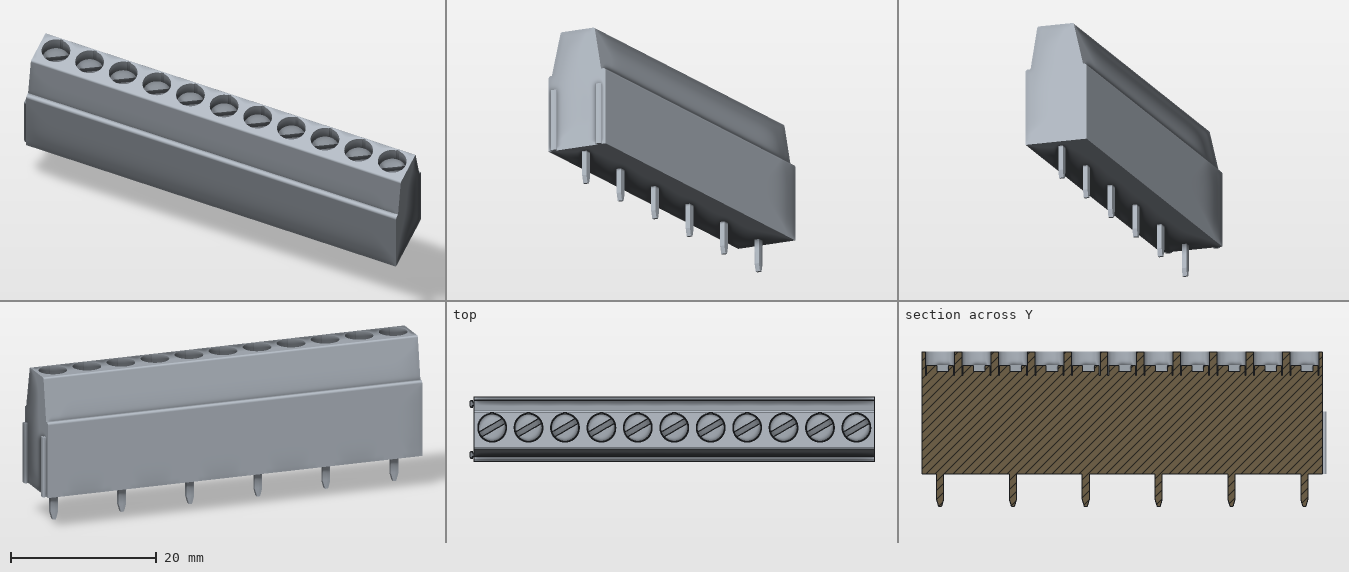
import cadquery as cq

poles = 11
pole_pitch = 5.0
rail_depth = 0.55
body_length = poles * pole_pitch
total_length = body_length + rail_depth
body_right = total_length / 2
body_left = body_right - body_length

body_width = 8.9
body_height = 16.8
shoulder_height = 10.8
shoulder_front = -3.7
shoulder_back = 3.95
top_front = -2.7
top_back = 2.55
top_edge_round = 0.3
shoulder_round = 0.35

well_diameter = 3.95
well_y = 0.2
well_depth = 1.85
well_notch_width = 0.45
well_notch_depth = 0.1
head_diameter = 3.8
head_height = 1.4
slot_width = 0.8
slot_depth = 0.85
slot_angle = 30

rail_height = 8.55
rail_spacing = 7.0
rail_width = 0.95
rail_neck = 0.55
rail_lip = 0.35
rail_chamfer = 0.15

pin_length = 4.5
pin_width = 1.05
pin_thickness = 0.65
pin_y = -0.05
pin_tip_length = 1.05
pin_tip_width = 0.45
pin_step = 2


def make_body():
    half_width = body_width / 2
    outline = [
        (-half_width, 0),
        (-half_width, shoulder_height),
        (shoulder_front, shoulder_height),
        (top_front, body_height),
        (top_back, body_height),
        (shoulder_back, shoulder_height),
        (half_width, shoulder_height),
        (half_width, 0),
    ]
    body = cq.Workplane("YZ", origin=(body_left, 0, 0)).polyline(outline).close().extrude(body_length)
    body = body.faces(">Z").edges("|X").fillet(top_edge_round)
    return body.faces("<Y or >Y").edges("|X and (not <Z)").fillet(shoulder_round)


def make_rail(y):
    tip = body_left - rail_depth
    neck = cq.Workplane("XY").box(rail_depth, rail_neck, rail_height, centered=(False, True, False))
    lip = cq.Workplane("XY").box(rail_lip, rail_width, rail_height, centered=(False, True, False))
    lip = lip.faces("<X").edges("|Z").chamfer(rail_chamfer)
    return neck.union(lip).translate((tip, y, 0))


def make_well(x):
    """Empty space of one well: a notched bore, less the screw head standing in it."""
    well_radius = well_diameter / 2
    head_top = body_height - well_depth
    bore_height = well_depth + head_height
    notch_reach = well_radius + well_notch_depth

    floor = cq.Workplane("XY", origin=(x, well_y, head_top - head_height))
    bore = floor.circle(well_radius).extrude(bore_height)
    notch = floor.center(0, notch_reach / 2).rect(well_notch_width, notch_reach).extrude(bore_height)
    head = floor.circle(head_diameter / 2).extrude(head_height)
    slot = (
        cq.Workplane("XY", origin=(x, well_y, head_top - slot_depth))
        .transformed(rotate=(0, 0, slot_angle))
        .rect(well_diameter, slot_width)
        .extrude(slot_depth)
    )
    return bore.union(notch).cut(head.cut(slot))


def make_pin(x):
    outline = [
        (x - pin_width / 2, 0),
        (x - pin_width / 2, pin_tip_length - pin_length),
        (x - pin_tip_width / 2, -pin_length),
        (x + pin_tip_width / 2, -pin_length),
        (x + pin_width / 2, pin_tip_length - pin_length),
        (x + pin_width / 2, 0),
    ]
    blade = cq.Workplane("XZ", origin=(0, pin_y, 0)).polyline(outline).close()
    return blade.extrude(pin_thickness / 2, both=True)


pole_centers = [body_left + (pole + 0.5) * pole_pitch for pole in range(poles)]

result = make_body()
for side in (-1, 1):
    result = result.union(make_rail(side * rail_spacing / 2))
for x in pole_centers:
    result = result.cut(make_well(x))
for x in pole_centers[::pin_step]:
    result = result.union(make_pin(x))